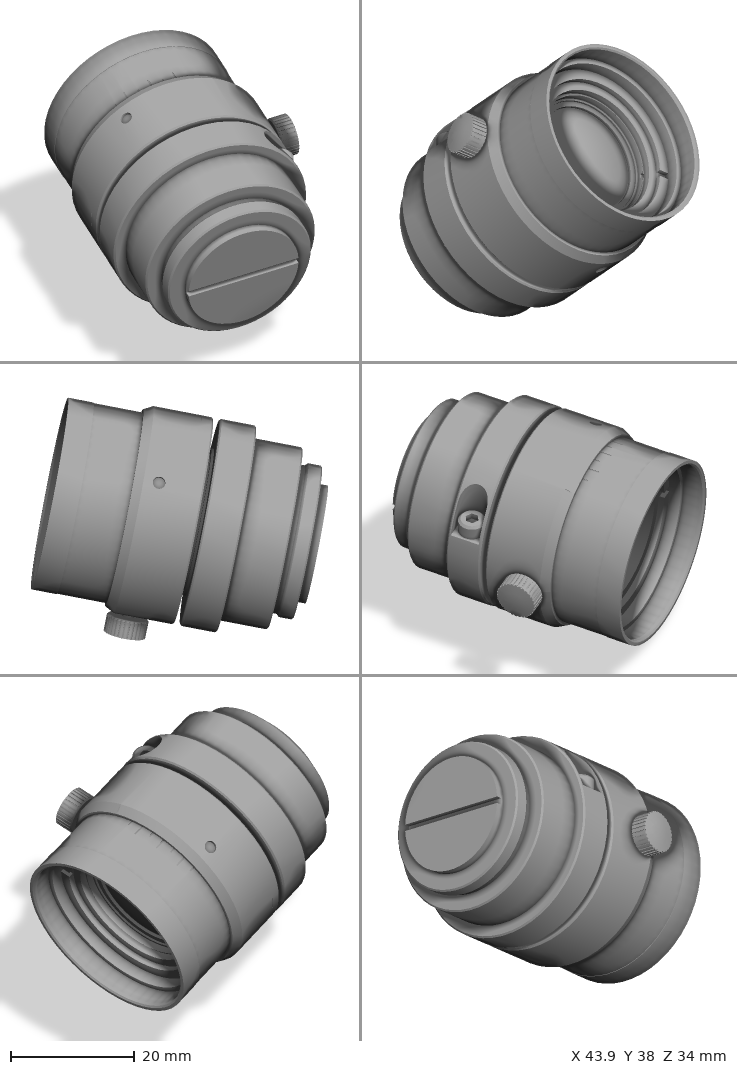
import cadquery as cq
import math


length = 43.9
body_radius = 34.0 / 2
overall_y = 37.95
edge = 0.25

hood_end = 4.15
hood_radius = 15.75
scale_radius = 15.65

focus_start = 12.25
focus_cone_end = 13.8
focus_front_radius = 16.2
focus_end = 23.6

neck_end = 24.2
neck_radius = 11.15
shoulder_radius = 12.05

clamp_start = 24.65
clamp_end = 30.67

rear_end = 38.7
rear_radius = 14.95
mount_groove_end = 39.62
mount_groove_radius = 12.2
flange_end = 42.4
flange_radius = 12.65
flange_front_chamfer = 0.45
tail_radius = 9.7
tail_slot_width = 1.1
tail_slot_depth = 0.95

mouth_radius = 15.2
bore_radius = 14.9
mouth_chamfer = mouth_radius - bore_radius
thread_start = 0.8
thread_radius = 14.95
filter_seat = 3.8
filter_radius = 14.1
spanner_ring_rim = 13.9
spanner_ring_face = 5.8
spanner_ring_radius = 12.2
inner_ring_face = 6.85
inner_ring_radius = 10.8
retainer_face = 7.9
retainer_radius = 10.3
retainer_chamfer = 0.25
lens_seat = 9.13
lens_seat_radius = 9.95
lens_stop = 9.5
lens_stop_radius = 9.1
lens_rim = 10.0
lens_rim_radius = 8.9
lens_apex = 8.07

spanner_slot_width = 1.1
spanner_slot_depth = 0.88
retainer_slot_width = 0.7
retainer_slot_depth = 0.65

lock_x = 16.32
knob_radius = 3.42
knob_bottom = 17.55
knob_rim = 20.55
knob_top = overall_y - body_radius
knob_stem_radius = 2.0 / 2
knurl_count = 30
knurl_depth = 0.18
knurl_width = 0.25

lock_positions = 3
blind_hole_diameter = 2.0
blind_hole_depth = 0.53

clamp_x = (clamp_start + clamp_end) / 2
screw_y = 13.55
pocket_width = 5.05
pocket_floor = 5.05
screw_head_diameter = 4.5
screw_head_top = 7.6
screw_head_chamfer = 0.4
hex_corners = 2.3
hex_depth = 1.1

mark_depth = 0.1
mark_width = 0.25
tick_count = 7
tick_step = 8.0
tick_first = -16.4
tick_short = 0.88
tick_long = 1.9
index_angle = -27.7
side_mark_x = 21.68
side_mark_length = 2.9
side_mark_width = 0.15


def build_barrel():
    """Revolve the full lens profile, including the front opening and the front glass."""
    profile = (
        cq.Workplane("XY")
        .moveTo(0, mouth_radius)
        .lineTo(0, hood_radius)
        .lineTo(hood_end, hood_radius)
        .lineTo(hood_end, scale_radius)
        .lineTo(focus_start, scale_radius)
        .lineTo(focus_start, focus_front_radius)
        .lineTo(focus_cone_end, body_radius)
        .lineTo(focus_end - edge, body_radius)
        .lineTo(focus_end, body_radius - edge)
        .lineTo(focus_end, neck_radius)
        .lineTo(neck_end, neck_radius)
        .lineTo(neck_end, shoulder_radius)
        .lineTo(clamp_start, shoulder_radius)
        .lineTo(clamp_start, body_radius - edge)
        .lineTo(clamp_start + edge, body_radius)
        .lineTo(clamp_end - edge, body_radius)
        .lineTo(clamp_end, body_radius - edge)
        .lineTo(clamp_end, rear_radius)
        .lineTo(rear_end - edge, rear_radius)
        .lineTo(rear_end, rear_radius - edge)
        .lineTo(rear_end, mount_groove_radius)
        .lineTo(mount_groove_end, mount_groove_radius)
        .lineTo(mount_groove_end + flange_front_chamfer, flange_radius)
        .lineTo(flange_end - edge, flange_radius)
        .lineTo(flange_end, flange_radius - edge)
        .lineTo(flange_end, tail_radius)
        .lineTo(length, tail_radius)
        .lineTo(length, 0)
        .lineTo(lens_apex, 0)
        .threePointArc(lens_arc_midpoint(), (lens_rim, lens_rim_radius))
        .lineTo(lens_rim, lens_stop_radius)
        .lineTo(lens_stop, lens_stop_radius)
        .lineTo(lens_stop, lens_seat_radius)
        .lineTo(lens_seat, lens_seat_radius)
        .lineTo(lens_seat, retainer_radius)
        .lineTo(retainer_face, retainer_radius)
        .lineTo(retainer_face + retainer_chamfer, retainer_radius + retainer_chamfer)
        .lineTo(retainer_face + retainer_chamfer, inner_ring_radius)
        .lineTo(inner_ring_face, inner_ring_radius)
        .lineTo(inner_ring_face, spanner_ring_radius)
        .lineTo(spanner_ring_face, spanner_ring_radius)
        .lineTo(spanner_ring_face, spanner_ring_rim)
        .lineTo(filter_seat, filter_radius)
        .lineTo(filter_seat, thread_radius)
        .lineTo(thread_start, thread_radius)
        .lineTo(thread_start, bore_radius)
        .lineTo(mouth_chamfer, bore_radius)
        .close()
    )
    return profile.revolve(360, (0, 0, 0), (1, 0, 0))


def lens_arc_midpoint():
    """Point halfway along the spherical front glass, from its apex to its rim."""
    sag = lens_rim - lens_apex
    sphere_radius = (lens_rim_radius**2 + sag**2) / (2 * sag)
    half_angle = math.asin(lens_rim_radius / sphere_radius) / 2
    x = lens_apex + sphere_radius * (1 - math.cos(half_angle))
    return x, sphere_radius * math.sin(half_angle)


def annular_slots(face_x, depth, width, inner_radius, outer_radius):
    """Cutter for two opposite slots, on +Y and -Y, across an annular face."""
    ring = (
        cq.Workplane("YZ", origin=(face_x, 0, 0))
        .circle(outer_radius)
        .circle(inner_radius)
        .extrude(depth)
    )
    bar = cq.Workplane("YZ", origin=(face_x, 0, 0)).rect(2 * outer_radius, width).extrude(depth)
    return ring.intersect(bar)


def tail_slot():
    """Cutter for the slot running along Y across the rear end."""
    return (
        cq.Workplane("XY")
        .box(tail_slot_depth, 2 * tail_radius, tail_slot_width)
        .translate((length - tail_slot_depth / 2, 0, 0))
    )


def build_knob():
    """Knurled lock knob with a domed top, on a stem that enters the focus ring."""
    stem_foot = body_radius - 2 * knob_stem_radius
    dome_height = knob_top - knob_rim
    dome_radius = (knob_radius**2 + dome_height**2) / (2 * dome_height)
    dome_angle = math.asin(knob_radius / dome_radius) / 2
    dome_midpoint = (
        dome_radius * math.sin(dome_angle),
        knob_top - dome_radius * (1 - math.cos(dome_angle)),
    )
    knob = (
        cq.Workplane("XY")
        .moveTo(0, stem_foot)
        .lineTo(knob_stem_radius, stem_foot)
        .lineTo(knob_stem_radius, knob_bottom)
        .lineTo(knob_radius - edge, knob_bottom)
        .lineTo(knob_radius, knob_bottom + edge)
        .lineTo(knob_radius, knob_rim)
        .threePointArc(dome_midpoint, (0, knob_top))
        .close()
        .revolve(360, (0, 0, 0), (0, 1, 0))
    )
    knurls = (
        cq.Workplane("XZ", origin=(0, knob_bottom, 0))
        .polarArray(knob_radius, 0, 360, knurl_count)
        .rect(2 * knurl_depth, knurl_width)
        .extrude(knob_bottom - knob_top)
    )
    return knob.cut(knurls).translate((lock_x, 0, 0))


def blind_holes():
    """Cutters for the holes that share the circle of the lock knob."""
    cutters = cq.Workplane("XY")
    for i in range(1, lock_positions):
        hole = (
            cq.Workplane("XZ", origin=(lock_x, body_radius - blind_hole_depth, 0))
            .circle(blind_hole_diameter / 2)
            .extrude(-2 * blind_hole_depth)
            .rotate((0, 0, 0), (1, 0, 0), 360 * i / lock_positions)
        )
        cutters = cutters.add(hole)
    return cutters.combine()


def clamp_pocket():
    """Cutter for the round-ended screw pocket, open toward +Y and +Z."""
    height = body_radius - pocket_floor
    plane = cq.Workplane("XY", origin=(clamp_x, screw_y, pocket_floor))
    round_end = plane.circle(pocket_width / 2).extrude(height)
    run_out = body_radius - screw_y
    mouth = plane.center(0, run_out / 2).rect(pocket_width, run_out).extrude(height)
    return round_end.union(mouth)


def clamp_screw():
    """Socket-head screw standing on the pocket floor."""
    return (
        cq.Workplane("XY", origin=(clamp_x, screw_y, pocket_floor))
        .circle(screw_head_diameter / 2)
        .extrude(screw_head_top - pocket_floor)
        .faces(">Z")
        .chamfer(screw_head_chamfer)
        .faces(">Z")
        .workplane()
        .polygon(6, hex_corners)
        .cutBlind(-hex_depth)
    )


def engraved_bar(x_start, x_length, width, angle, radius):
    """Cutter for a mark along X on a cylinder; angle is in degrees from +Z toward -Y."""
    return (
        cq.Workplane("XY")
        .box(x_length, width, 2 * mark_depth)
        .translate((x_start + x_length / 2, 0, radius))
        .rotate((0, 0, 0), (1, 0, 0), angle)
    )


def scale_ticks():
    """Cutters for the iris scale: short and long ticks in turn, ending at the focus ring."""
    cutters = cq.Workplane("XY")
    for i in range(tick_count):
        tick_length = tick_long if i % 2 else tick_short
        angle = tick_first + i * tick_step
        tick_start = focus_start - tick_length
        cutters = cutters.add(engraved_bar(tick_start, tick_length, mark_width, angle, scale_radius))
    return cutters.combine()


def index_mark():
    """Cutter for the index line down the cone of the focus ring."""
    run = focus_cone_end - focus_start
    rise = body_radius - focus_front_radius
    slope = math.degrees(math.atan2(rise, run))
    return (
        cq.Workplane("XY")
        .box(math.hypot(run, rise), mark_width, 2 * mark_depth)
        .rotate((0, 0, 0), (0, 1, 0), -slope)
        .translate((focus_start + run / 2, 0, focus_front_radius + rise / 2))
        .rotate((0, 0, 0), (1, 0, 0), index_angle)
    )


def side_mark():
    """Cutter for the thin line across the -Y side of the focus ring."""
    band = (
        cq.Workplane("YZ", origin=(side_mark_x - side_mark_width / 2, 0, 0))
        .circle(body_radius)
        .circle(body_radius - mark_depth)
        .extrude(side_mark_width)
    )
    window = cq.Workplane("XY").box(length, body_radius, side_mark_length)
    return band.intersect(window.translate((side_mark_x, -body_radius, 0)))


result = build_barrel()
result = result.cut(
    annular_slots(
        spanner_ring_face, spanner_slot_depth, spanner_slot_width, spanner_ring_radius, spanner_ring_rim
    )
)
result = result.cut(
    annular_slots(
        retainer_face, retainer_slot_depth, retainer_slot_width, retainer_radius, inner_ring_radius
    )
)
result = result.cut(tail_slot())
result = result.cut(blind_holes())
result = result.cut(clamp_pocket()).union(clamp_screw())
result = result.cut(scale_ticks()).cut(index_mark()).cut(side_mark())
result = result.union(build_knob())